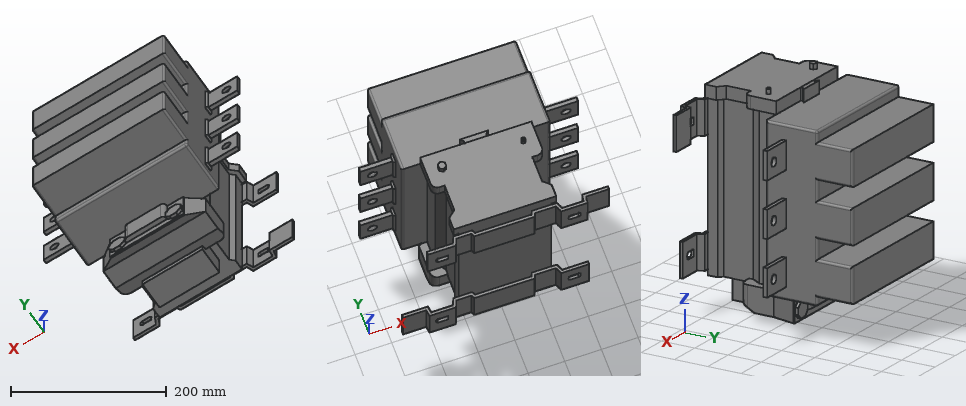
import cadquery as cq
import math


OVERALL_X = 297.0
OVERALL_Y = 254.0
OVERALL_Z = 315.0
REAR_Y = OVERALL_Y / 2
BOTTOM_Z = -OVERALL_Z / 2
TOP_Z = OVERALL_Z / 2

HOUSING_HALF_X = 101.5
HOUSING_FRONT_Y = -2.8
HOUSING_STEP_Y = 74.3
HOUSING_TOP_Z = 131.5
HOUSING_BOTTOM_Z = -108.5
HOUSING_FILLET = 3.0
POLE_MIDDLE_Z = 9.8
POLE_PITCH = 80.0
POLE_LEVELS = [POLE_MIDDLE_Z + step * POLE_PITCH for step in (-1, 0, 1)]
FINGER_HEIGHT = 51.7

TERMINAL_Y = 25.0
TERMINAL_THICKNESS = 6.0
TERMINAL_HEIGHT = 40.3
TERMINAL_HOLE_X = 132.0
TERMINAL_HOLE_DIAMETER = 12.5
COLLAR_MARGIN_Y = 3.0
COLLAR_MARGIN_Z = 2.5
COLLAR_LENGTH = 3.0
COLLAR_FILLET = 2.5

TONGUE_REAR_Y = 4.0
TONGUE_NECK_Y = 0.0
TONGUE_HALF_X = 19.2
TONGUE_NECK_HALF_X = 15.0

BASE_FRONT_Y = -113.5
BASE_BOTTOM_Z = -113.5
BASE_HALF_X = 66.5
BASE_WAIST_HALF_X = 57.0
BASE_FRONT_HALF_X = 63.3
BASE_TAPER_START_Y = -33.7
BASE_TAPER_END_Y = -48.5
BASE_FLARE_START_Y = -93.0
BASE_FLARE_END_Y = -98.5

PLATE_TOP_Z = 149.5
PLATE_HALF_X = 76.0
PLATE_WAIST_HALF_X = 60.0
PLATE_FRONT_HALF_X = 70.0
PLATE_EAR_Y = -50.7
PLATE_CORNER_RADIUS = 9.0
PLATE_FLARE_START_Y = -87.3
PLATE_FLARE_END_Y = -96.5

PIN_Y = -26.0
HEX_PIN_X = -54.5
HEX_PIN_RADIUS = 5.7
ROUND_PIN_X = 56.5
ROUND_PIN_RADIUS = 2.8
ROUND_PIN_CHAMFER = 1.3

FOOT_HALF_X = 78.5
FOOT_REAR_HALF_X = 56.5
FOOT_FRONT_Y = -55.0
FOOT_CORNER_RADIUS = 10.0
FOOT_TAPER_Y = -5.0
FOOT_LIP_Y = 10.7
FOOT_REAR_Y = 13.0
FOOT_BOTTOM_Z = -145.2
FOOT_SLOPE_Y = -34.0
FOOT_FRONT_BOTTOM_Z = -134.0

COIL_BLOCK_HALF_X = 46.0
COIL_BLOCK_FRONT_Y = -87.0
COIL_BLOCK_REAR_Y = -47.2
COIL_BLOCK_BOTTOM_Z = -147.5

BOSS_HALF_X = 31.5
BOSS_REAR_Y = 19.5
BOSS_BOTTOM_Z = -145.2
BOSS_CORNER_RADIUS = 6.3
SCREW_X = 43.0
SCREW_Z = -140.8
SCREW_RADIUS = 12.5
SCREW_SIDES = 8
SCREW_REAR_Y = 17.5

BRACKET_FRONT_Y = -REAR_Y
BRACKET_THICKNESS = 4.5
BRACKET_HEIGHT = 50.0
UPPER_BRACKET_Z = 79.0
LOWER_BRACKET_Z = -105.2
SEAT_Y = BASE_FRONT_Y - BRACKET_THICKNESS
BRIDGE_DEPTH = 4.7
BRIDGE_Y = SEAT_Y - BRIDGE_DEPTH
BRIDGE_LEFT_X = -45.0
BRIDGE_RIGHT_X = 37.0
BRIDGE_BEND = 2.5
SEAT_HALF_X = 67.7
PAD_INNER_X = 71.8
PAD_OUTER_X = 110.0
WING_BEND_PAD_X = 107.7
WING_BEND_X = 109.0
WING_END_X = 140.5
SLOT_X = 90.5
SLOT_LENGTH = 16.7
SLOT_WIDTH = 10.0
SLOT_END_BULGE = 2.8
SLOT_CORNER_RADIUS = 2.5
SLOT_OFFSET_Z = 2.0


def block(x_range, y_range, z_range):
    """Box given by its limits along each axis."""
    sizes = [limits[1] - limits[0] for limits in (x_range, y_range, z_range)]
    corner = (x_range[0], y_range[0], z_range[0])
    return cq.Workplane("XY").box(*sizes, centered=False).translate(corner)


def symmetric_prism(half_outline, bottom_z, top_z):
    """Vertical prism whose (x, y) outline is a right-hand half mirrored across x = 0."""
    mirrored = [(-x, y) for x, y in reversed(half_outline)]
    outline = cq.Workplane("XY").workplane(offset=bottom_z).polyline(half_outline + mirrored)
    return outline.close().extrude(top_z - bottom_z)


def side_prism(profile, half_x):
    """Prism along X whose profile is a list of (y, z) points."""
    return cq.Workplane("YZ").polyline(profile).close().extrude(half_x, both=True)


def make_housing_shell():
    rear_steps = []
    for level in POLE_LEVELS:
        low = level - FINGER_HEIGHT / 2
        high = level + FINGER_HEIGHT / 2
        rear_steps += [(HOUSING_STEP_Y, low), (REAR_Y, low), (REAR_Y, high), (HOUSING_STEP_Y, high)]
    profile = [
        (HOUSING_FRONT_Y, HOUSING_TOP_Z),
        (HOUSING_FRONT_Y, HOUSING_BOTTOM_Z),
        (HOUSING_STEP_Y, HOUSING_BOTTOM_Z),
        *rear_steps,
        (HOUSING_STEP_Y, HOUSING_TOP_Z),
    ]
    shell = side_prism(profile, HOUSING_HALF_X)
    step_edges = []
    for z in (HOUSING_BOTTOM_Z, HOUSING_TOP_Z):
        step_edges += shell.edges(cq.selectors.NearestToPointSelector((0, HOUSING_STEP_Y, z))).vals()
    rounded = shell.faces("<X or >X").edges().add(step_edges)
    return rounded.fillet(HOUSING_FILLET)


def make_terminal(level, side):
    """Terminal blade standing out of one side (-1 or +1) of the housing."""
    root = side * (HOUSING_HALF_X - HOUSING_FILLET)
    tip = side * OVERALL_X / 2
    half_y = TERMINAL_THICKNESS / 2
    y_range = (TERMINAL_Y - half_y, TERMINAL_Y + half_y)
    z_range = (level - TERMINAL_HEIGHT / 2, level + TERMINAL_HEIGHT / 2)
    blade = block(sorted((root, tip)), y_range, z_range)
    hole = (
        cq.Workplane("XZ", origin=(side * TERMINAL_HOLE_X, TERMINAL_Y, level))
        .circle(TERMINAL_HOLE_DIAMETER / 2)
        .extrude(TERMINAL_THICKNESS, both=True)
    )
    return blade.cut(hole)


def make_collar(level):
    """Rounded collar around the root of a left-hand terminal."""
    half_y = TERMINAL_THICKNESS / 2 + COLLAR_MARGIN_Y
    half_z = TERMINAL_HEIGHT / 2 + COLLAR_MARGIN_Z
    collar = block(
        (-HOUSING_HALF_X - COLLAR_LENGTH, -HOUSING_HALF_X),
        (TERMINAL_Y - half_y, TERMINAL_Y + half_y),
        (level - half_z, level + half_z),
    )
    return collar.faces("<X").edges().fillet(COLLAR_FILLET)


def make_tongue():
    half_outline = [
        (TONGUE_NECK_HALF_X, HOUSING_FRONT_Y),
        (TONGUE_NECK_HALF_X, TONGUE_NECK_Y),
        (TONGUE_HALF_X, TONGUE_REAR_Y),
    ]
    return symmetric_prism(half_outline, HOUSING_TOP_Z, PLATE_TOP_Z)


def make_housing():
    housing = make_housing_shell().union(make_tongue())
    for level in POLE_LEVELS:
        housing = housing.union(make_collar(level))
        for side in (-1, 1):
            housing = housing.union(make_terminal(level, side))
    return housing


def make_core():
    half_outline = [
        (BASE_FRONT_HALF_X, BASE_FRONT_Y),
        (BASE_FRONT_HALF_X, BASE_FLARE_END_Y),
        (BASE_WAIST_HALF_X, BASE_FLARE_START_Y),
        (BASE_WAIST_HALF_X, BASE_TAPER_END_Y),
        (BASE_HALF_X, BASE_TAPER_START_Y),
        (BASE_HALF_X, HOUSING_FRONT_Y),
    ]
    core = symmetric_prism(half_outline, BASE_BOTTOM_Z, HOUSING_TOP_Z)
    coil_block = block(
        (-COIL_BLOCK_HALF_X, COIL_BLOCK_HALF_X),
        (COIL_BLOCK_FRONT_Y, COIL_BLOCK_REAR_Y),
        (COIL_BLOCK_BOTTOM_Z, BASE_BOTTOM_Z),
    )
    return core.union(coil_block)


def make_top_plate():
    half_outline = [
        (PLATE_FRONT_HALF_X, BASE_FRONT_Y),
        (PLATE_FRONT_HALF_X, PLATE_FLARE_END_Y),
        (PLATE_WAIST_HALF_X, PLATE_FLARE_START_Y),
        (PLATE_WAIST_HALF_X, PLATE_EAR_Y),
        (PLATE_HALF_X, PLATE_EAR_Y),
        (PLATE_HALF_X, HOUSING_FRONT_Y),
    ]
    plate = symmetric_prism(half_outline, HOUSING_TOP_Z, PLATE_TOP_Z)
    ear_corners = plate.edges("|Z").edges("<X or >X").edges("<Y")
    return ear_corners.fillet(PLATE_CORNER_RADIUS)


def make_pins():
    pin_length = TOP_Z - PLATE_TOP_Z
    plate_top = cq.Workplane("XY").workplane(offset=PLATE_TOP_Z)
    hex_pin = (
        plate_top.center(HEX_PIN_X, PIN_Y)
        .transformed(rotate=(0, 0, 90))
        .polygon(6, 2 * HEX_PIN_RADIUS)
        .extrude(pin_length)
    )
    round_pin = plate_top.center(ROUND_PIN_X, PIN_Y).circle(ROUND_PIN_RADIUS).extrude(pin_length)
    return hex_pin.union(round_pin.faces(">Z").chamfer(ROUND_PIN_CHAMFER))


def make_foot():
    """Foot: a plan with a narrowed rear, trimmed below by a sloped side profile."""
    half_plan = [
        (FOOT_HALF_X, FOOT_FRONT_Y),
        (FOOT_HALF_X, FOOT_TAPER_Y),
        (FOOT_REAR_HALF_X, FOOT_LIP_Y),
        (FOOT_REAR_HALF_X, FOOT_REAR_Y),
    ]
    plan = symmetric_prism(half_plan, BOTTOM_Z, HOUSING_BOTTOM_Z)
    plan = plan.edges("|Z").edges("<Y").fillet(FOOT_CORNER_RADIUS)
    side_profile = [
        (FOOT_FRONT_Y, HOUSING_BOTTOM_Z),
        (FOOT_FRONT_Y, FOOT_FRONT_BOTTOM_Z),
        (FOOT_SLOPE_Y, FOOT_BOTTOM_Z),
        (FOOT_TAPER_Y, FOOT_BOTTOM_Z),
        (FOOT_LIP_Y, BOTTOM_Z),
        (FOOT_REAR_Y, BOTTOM_Z),
        (FOOT_REAR_Y, HOUSING_BOTTOM_Z),
    ]
    return plan.intersect(side_prism(side_profile, FOOT_HALF_X))


def make_foot_rear():
    """Rounded boss and two octagonal screw heads on the rear of the foot."""
    boss = block(
        (-BOSS_HALF_X, BOSS_HALF_X),
        (FOOT_REAR_Y, BOSS_REAR_Y),
        (BOSS_BOTTOM_Z, HOUSING_BOTTOM_Z),
    )
    rear = boss.edges("|Z").edges(">Y").fillet(BOSS_CORNER_RADIUS)
    for side in (-1, 1):
        head = (
            cq.Workplane("XZ", origin=(side * SCREW_X, SCREW_REAR_Y, SCREW_Z))
            .transformed(rotate=(0, 0, 180 / SCREW_SIDES))
            .polygon(SCREW_SIDES, 2 * SCREW_RADIUS)
            .extrude(SCREW_REAR_Y - FOOT_REAR_Y)
        )
        rear = rear.union(head)
    return rear


def make_base():
    base = make_core().union(make_top_plate()).union(make_pins())
    return base.union(make_foot().union(make_foot_rear()))


def thicken(front_line):
    """Points of the strip's back, at constant thickness behind its front line (left to right)."""
    directions = []
    for start, end in zip(front_line, front_line[1:]):
        directions.append(math.atan2(end[1] - start[1], end[0] - start[0]))
    directions = [directions[0], *directions, directions[-1]]
    back_line = []
    for (x, y), before, after in zip(front_line, directions, directions[1:]):
        normal = (before + after) / 2 + math.pi / 2
        reach = BRACKET_THICKNESS / math.cos((after - before) / 2)
        back_line.append((x + reach * math.cos(normal), y + reach * math.sin(normal)))
    return back_line


def make_slot(side, middle_z):
    """Slot cutter on one side (-1 or +1): bulging outer end, rounded inner corners."""
    inner = SLOT_X - SLOT_LENGTH / 2
    arc_start = SLOT_X + SLOT_LENGTH / 2 - SLOT_END_BULGE
    slot = (
        cq.Workplane("XZ", origin=(0, BRACKET_FRONT_Y, middle_z))
        .moveTo(side * inner, -SLOT_WIDTH / 2)
        .lineTo(side * arc_start, -SLOT_WIDTH / 2)
        .threePointArc((side * (SLOT_X + SLOT_LENGTH / 2), 0), (side * arc_start, SLOT_WIDTH / 2))
        .lineTo(side * inner, SLOT_WIDTH / 2)
        .close()
        .extrude(2 * BRACKET_THICKNESS, both=True)
    )
    inner_face = "<X" if side > 0 else ">X"
    return slot.faces(inner_face).edges("|Y").fillet(SLOT_CORNER_RADIUS)


def make_bracket(bottom_z, wing_side):
    """Bracket standing on bottom_z, with its wing on the left (-1) or right (+1)."""
    plain_end = [(PAD_OUTER_X, BRACKET_FRONT_Y)]
    wing = [(WING_BEND_PAD_X, BRACKET_FRONT_Y), (WING_BEND_X, SEAT_Y), (WING_END_X, SEAT_Y)]
    right_end = wing if wing_side > 0 else plain_end
    left_end = plain_end if wing_side > 0 else wing
    front_line = [
        *[(-x, y) for x, y in reversed(left_end)],
        (-PAD_INNER_X, BRACKET_FRONT_Y),
        (-SEAT_HALF_X, SEAT_Y),
        (BRIDGE_LEFT_X - BRIDGE_BEND, SEAT_Y),
        (BRIDGE_LEFT_X, BRIDGE_Y),
        (BRIDGE_RIGHT_X, BRIDGE_Y),
        (BRIDGE_RIGHT_X + BRIDGE_BEND, SEAT_Y),
        (SEAT_HALF_X, SEAT_Y),
        (PAD_INNER_X, BRACKET_FRONT_Y),
        *right_end,
    ]
    outline = front_line + thicken(front_line)[::-1]
    bracket = cq.Workplane("XY").polyline(outline).close().extrude(BRACKET_HEIGHT)
    slot_z = BRACKET_HEIGHT / 2 - wing_side * SLOT_OFFSET_Z
    for side in (-1, 1):
        bracket = bracket.cut(make_slot(side, slot_z))
    return bracket.translate((0, 0, bottom_z))


housing = make_housing()
base = make_base()
brackets = [
    make_bracket(bottom_z, wing_side)
    for bottom_z, wing_side in ((UPPER_BRACKET_Z, 1), (LOWER_BRACKET_Z, -1))
]

result = cq.Compound.makeCompound([housing.val(), base.val(), *[b.val() for b in brackets]])